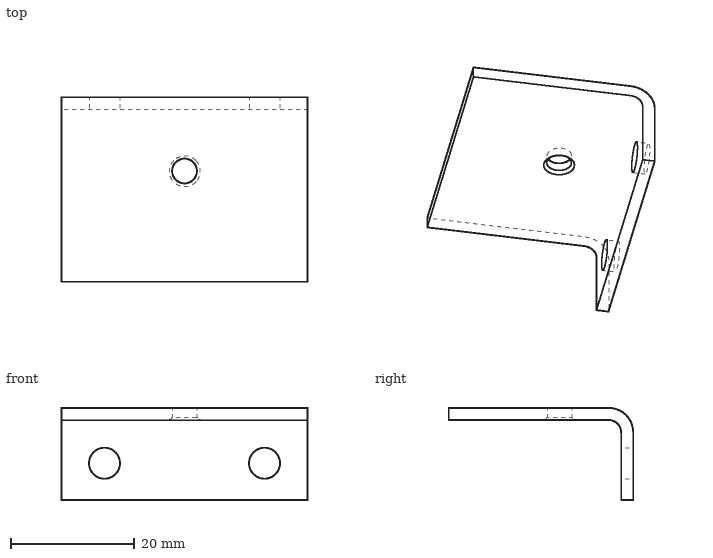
import cadquery as cq

width = 40.0
depth = 30.0
height = 15.0
thickness = 2.0

inner_bend_radius = 2.0
outer_bend_radius = inner_bend_radius + thickness

flange_hole_diameter = 5.0
flange_hole_spacing = 26.0
flange_hole_height = 6.0

plate_hole_diameter = 4.0
plate_hole_from_back = 12.0
countersink_depth = thickness / 4


def bent_sheet():
    """L-shaped sheet, centred on X, with its rear face at Y = depth and its bottom at Z = 0."""

    def block(block_depth, block_height):
        return cq.Workplane("XY").box(width, block_depth, block_height, centered=(True, False, False))

    outer = block(depth, height).edges("|X and >Y and >Z").fillet(outer_bend_radius)
    inner = block(depth - thickness, height - thickness)
    inner = inner.edges("|X and >Y and >Z").fillet(inner_bend_radius)
    return outer.cut(inner)


def flange_holes():
    """Cylinders along Y that cross the rear flange only."""
    return (
        cq.Workplane("XZ", origin=(0, depth, flange_hole_height))
        .rarray(flange_hole_spacing, 0.4, 2, 1)
        .circle(flange_hole_diameter / 2)
        .extrude(thickness)
    )


def plate_hole():
    """Cylinder along Z that crosses the top plate and flares at 45 degrees to its lower face."""
    hole_radius = plate_hole_diameter / 2
    hole = (
        cq.Workplane("XY", origin=(0, depth - plate_hole_from_back, height - thickness))
        .circle(hole_radius)
        .extrude(thickness)
    )
    countersink = (
        hole.faces("<Z").workplane(invert=True)
        .circle(hole_radius + countersink_depth)
        .workplane(offset=countersink_depth)
        .circle(hole_radius)
        .loft(combine=False)
    )
    return hole.union(countersink)


result = bent_sheet().cut(flange_holes()).cut(plate_hole())